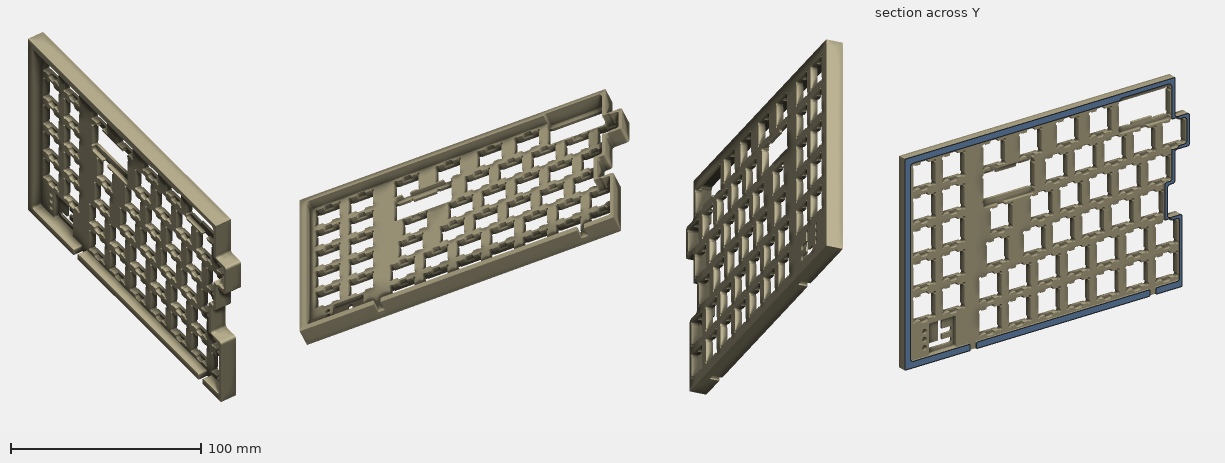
import cadquery as cq
import math


KEY_PITCH = 19.05
ROW_COUNT = 6
BORDER = 4.0
RIGHT_WALL = 2.0
HEIGHT = ROW_COUNT * KEY_PITCH + 2 * BORDER

CASE_DEPTH = 9.5
PLATE_DEPTH = 4.0
CLIP_SKIN = 1.5
SLIDE_SKIN = 1.25

SWITCH_SIZE = 14.0
EAR_RADIUS = 1.0
EAR_REACH = 0.6
CLIP_WIDTH = 5.2
CLIP_REACH = 1.75
CLIP_CORNER = 1.5

STAB_WIDTH = 33.0
STAB_EXTRA = 1.1
STAB_POCKET_HEIGHT = 21.2
STAB_POCKET_CORNER = 1.5

STEP_CORNER = 1.5
CAVITY_CORNER = 1.5

GAP_WIDTH = 3.8
GAP_CENTERS = (2.125, 8.25)
GAP_CORNER = 1.0

KEY_ROWS = (
    (0.5, 1.5, 2.875, 4.125, 5.375, 6.5),
    (0.5, 1.5, 5.0, 6.0, 7.0, 8.0, 9.0),
    (0.5, 1.5, 3.125, 4.5, 5.5, 6.5, 7.5, 8.5),
    (0.5, 1.5, 3.0, 4.25, 5.25, 6.25, 7.25, 8.25),
    (0.5, 1.5) + tuple(2.75 + column for column in range(7)),
    tuple(2.75 + column for column in range(7)),
)
WIDE_KEYS = ((0, 8.0, -1), (1, 3.375, 1))
ROW_GROUPS = ((1, 9.0), (1, 9.5), (1, 9.0), (1, 8.75), (2, 9.25))

HOLE_DIAMETER = 3.1
HOLE_HEIGHTS = (9.2, 13.85, 18.5)
SLIDE_LEFT = 16.3
SLIDE_RIGHT = 34.1
SLIDE_TOP = 22.3
SLIDE_CORNER = 1.2
STEM_CENTER = 25.5
STEM_WIDTH = 2.6
STEM_TOP = 21.2
STEM_CORNER = 0.9
BAR_WIDTH = 3.2
BAR_END_CORNER = 1.5
BAR_RIGHT = 33.0
UPPER_BAR_HEIGHT = 14.0
LOWER_BAR_HEIGHT = 7.8
LOWER_BAR_LEFT = 18.0


def grid_x(pitches):
    return BORDER + pitches * KEY_PITCH


def row_z(row):
    return HEIGHT - BORDER - (row + 0.5) * KEY_PITCH


def back_plane(level=0):
    """Sketch plane facing -Y, raised by level above the back face."""
    return cq.Workplane("XZ", origin=(0, -level, 0))


def block(x_min, x_max, z_min, z_max, level, depth):
    plane = back_plane(level).center((x_min + x_max) / 2, (z_min + z_max) / 2)
    return plane.rect(x_max - x_min, z_max - z_min).extrude(depth)


def stepped_outline(border, wall):
    """Points of the case outline, inset by border and, on the stepped side, by wall."""
    points = [(border, border), (border, HEIGHT - border)]
    top = HEIGHT - border
    rows_above = 0
    for index, (rows, end) in enumerate(ROW_GROUPS):
        x = grid_x(end) - wall
        points.append((x, top))
        rows_above += rows
        if index == len(ROW_GROUPS) - 1:
            points.append((x, border))
        else:
            next_is_wider = ROW_GROUPS[index + 1][1] > end
            boundary = HEIGHT - BORDER - rows_above * KEY_PITCH
            top = boundary - wall if next_is_wider else boundary + wall
            points.append((x, top))
    return points


def make_shell():
    body = back_plane().polyline(stepped_outline(0, 0)).close().extrude(CASE_DEPTH)
    shortest_end = min(end for _, end in ROW_GROUPS)
    longest_end = max(end for _, end in ROW_GROUPS)
    step_zone = cq.selectors.BoxSelector(
        (grid_x(shortest_end) - RIGHT_WALL, -CASE_DEPTH, BORDER),
        (grid_x(longest_end) + RIGHT_WALL, 0, HEIGHT - BORDER),
    )
    body = body.edges("|Y").edges(step_zone).fillet(STEP_CORNER)
    cavity = back_plane(PLATE_DEPTH).polyline(stepped_outline(BORDER, RIGHT_WALL)).close()
    cavity = cavity.extrude(CASE_DEPTH - PLATE_DEPTH).edges("|Y").fillet(CAVITY_CORNER)
    return body.cut(cavity)


def rim_gap(center):
    """Gap through the bottom rim, flaring out with round corners on the cavity side."""
    x = grid_x(center)
    half = GAP_WIDTH / 2
    flare = half + GAP_CORNER
    straight_end = BORDER - GAP_CORNER
    profile = (
        back_plane(PLATE_DEPTH)
        .moveTo(x - half, 0)
        .lineTo(x - half, straight_end)
        .radiusArc((x - flare, BORDER), -GAP_CORNER)
        .lineTo(x + flare, BORDER)
        .radiusArc((x + half, straight_end), -GAP_CORNER)
        .lineTo(x + half, 0)
        .close()
    )
    return profile.extrude(CASE_DEPTH - PLATE_DEPTH)


def ears(corners, outward):
    """Round reliefs at opening corners; outward is the Z direction out of the opening."""
    inset = EAR_RADIUS - EAR_REACH
    centers = [(x - math.copysign(inset, x), z - outward * inset) for x, z in corners]
    return back_plane().pushPoints(centers).circle(EAR_RADIUS).extrude(PLATE_DEPTH)


def switch_cutter():
    """Opening with corner ears and the clip pockets above and below it."""
    half = SWITCH_SIZE / 2
    cutter = back_plane().rect(SWITCH_SIZE, SWITCH_SIZE).extrude(PLATE_DEPTH)
    for side in (1, -1):
        cutter = cutter.union(ears([(-half, side * half), (half, side * half)], side))
    clips = back_plane(CLIP_SKIN).rect(CLIP_WIDTH, SWITCH_SIZE + 2 * CLIP_REACH)
    clips = clips.extrude(CASE_DEPTH - CLIP_SKIN).edges("|Y").fillet(CLIP_CORNER)
    return cutter.union(clips)


def stabilizer_cutter(side):
    """Wide opening in a recessed pocket; a tongue at one side closes it up to the switch."""
    half_width = STAB_WIDTH / 2
    half_switch = SWITCH_SIZE / 2
    far_edge = side * (half_switch + STAB_EXTRA)
    near_edge = -side * half_switch
    opening = block(-half_width, half_width, min(near_edge, far_edge), max(near_edge, far_edge),
                    0, PLATE_DEPTH)
    tongue = back_plane().center(0, side * (half_switch + STAB_EXTRA / 2))
    opening = opening.cut(tongue.rect(SWITCH_SIZE, STAB_EXTRA).extrude(PLATE_DEPTH))
    opening = opening.union(ears([(-half_width, near_edge), (half_width, near_edge)], -side))
    opening = opening.union(ears([(-half_width, far_edge), (half_width, far_edge)], side))
    root_x = half_switch + EAR_RADIUS - EAR_REACH
    root_z = far_edge - side * (EAR_RADIUS - EAR_REACH)
    roots = back_plane().pushPoints([(-root_x, root_z), (root_x, root_z)])
    opening = opening.union(roots.circle(EAR_RADIUS).extrude(PLATE_DEPTH))
    pocket = back_plane(CLIP_SKIN).rect(STAB_WIDTH, STAB_POCKET_HEIGHT)
    pocket = pocket.extrude(CASE_DEPTH - CLIP_SKIN).edges("|Y").fillet(STAB_POCKET_CORNER)
    return opening.union(pocket)


def indicator_holes():
    points = [(grid_x(0.5), z) for z in HOLE_HEIGHTS]
    return back_plane().pushPoints(points).circle(HOLE_DIAMETER / 2).extrude(PLATE_DEPTH)


def slide_switch_cutter():
    """Rounded pocket with a branched slot through its floor."""
    pocket = block(SLIDE_LEFT, SLIDE_RIGHT, BORDER, SLIDE_TOP, SLIDE_SKIN, PLATE_DEPTH - SLIDE_SKIN)
    pocket = pocket.edges("|Y").fillet(SLIDE_CORNER)
    stem_left = STEM_CENTER - STEM_WIDTH / 2
    stem_right = STEM_CENTER + STEM_WIDTH / 2
    stem = block(stem_left, stem_right, LOWER_BAR_HEIGHT, STEM_TOP, 0, PLATE_DEPTH)
    stem = stem.edges("|Y and >Z").fillet(STEM_CORNER)
    half_bar = BAR_WIDTH / 2
    upper_bar = block(STEM_CENTER, BAR_RIGHT, UPPER_BAR_HEIGHT - half_bar, UPPER_BAR_HEIGHT + half_bar,
                      0, PLATE_DEPTH)
    upper_bar = upper_bar.edges("|Y and >X").fillet(BAR_END_CORNER)
    lower_bar = back_plane().center((LOWER_BAR_LEFT + BAR_RIGHT) / 2, LOWER_BAR_HEIGHT)
    lower_bar = lower_bar.rect(BAR_RIGHT - LOWER_BAR_LEFT, BAR_WIDTH).extrude(PLATE_DEPTH)
    lower_bar = lower_bar.edges("|Y").fillet(BAR_END_CORNER)
    return pocket.union(stem).union(upper_bar).union(lower_bar)


cutters = [rim_gap(center) for center in GAP_CENTERS]
switch = switch_cutter()
for row, centers in enumerate(KEY_ROWS):
    for center in centers:
        cutters.append(switch.translate((grid_x(center), 0, row_z(row))))
for row, center, side in WIDE_KEYS:
    cutters.append(stabilizer_cutter(side).translate((grid_x(center), 0, row_z(row))))
cutters.append(indicator_holes())
cutters.append(slide_switch_cutter())

result = cq.Workplane(make_shell().val().cut(*[cutter.val() for cutter in cutters]).clean())